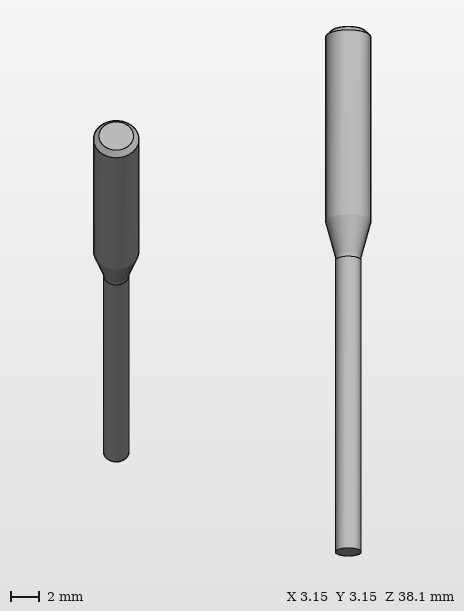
import cadquery as cq

total_length = 38.1
shank_diameter = 3.15
rod_diameter = 1.8
rod_length = 21.37
collar_length = 0.23
taper_length = 2.6
top_chamfer = 0.4

shank_radius = shank_diameter / 2
rod_radius = rod_diameter / 2
taper_bottom = rod_length + collar_length
taper_top = taper_bottom + taper_length


def make_shank():
    """Chamfered shank tapering down to a short collar of the rod's diameter."""
    half_profile = (
        cq.Workplane("XZ")
        .moveTo(0, rod_length)
        .lineTo(rod_radius, rod_length)
        .lineTo(rod_radius, taper_bottom)
        .lineTo(shank_radius, taper_top)
        .lineTo(shank_radius, total_length)
        .lineTo(0, total_length)
        .close()
    )
    shank = half_profile.revolve(360, (0, 0, 0), (0, 1, 0))
    return shank.faces(">Z").edges().chamfer(top_chamfer)


def make_rod():
    """Plain round rod that butts against the underside of the collar."""
    return cq.Workplane("XY").circle(rod_radius).extrude(rod_length)


shank = make_shank()
rod = make_rod()

result = cq.Compound.makeCompound([shank.val(), rod.val()])